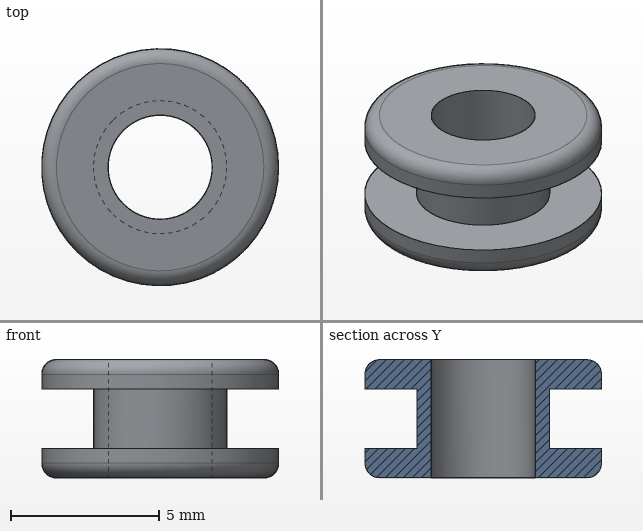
import cadquery as cq

flange_diameter = 8.0
total_height = flange_diameter / 2
flange_thickness = total_height / 4
edge_radius = flange_thickness / 2
neck_diameter = 4.5
bore_diameter = 3.5


def flange(base_height, rounded_edge):
    """Disc starting at base_height, with one outer edge rounded."""
    disc = cq.Workplane("XY").workplane(offset=base_height).circle(flange_diameter / 2)
    return disc.extrude(flange_thickness).edges(rounded_edge).fillet(edge_radius)


bottom = -total_height / 2
lower_flange = flange(bottom, "<Z")
upper_flange = flange(-bottom - flange_thickness, ">Z")


def full_height_cylinder(diameter):
    """Cylinder spanning the whole height of the part."""
    return cq.Workplane("XY").workplane(offset=bottom).circle(diameter / 2).extrude(total_height)


neck = full_height_cylinder(neck_diameter)
bore = full_height_cylinder(bore_diameter)

result = neck.union(lower_flange).union(upper_flange).cut(bore)